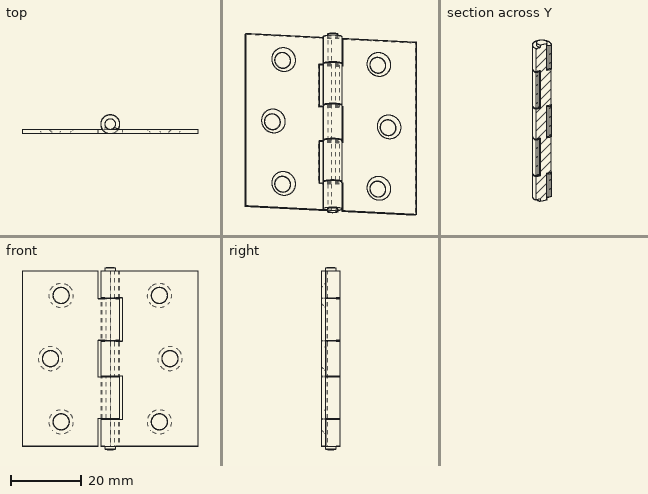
import cadquery as cq
import math

hinge_width = 50.0
leaf_height = 50.0
pin_length = 52.0
pin_diameter = 3.0
leaf_thickness = 1.2
notch_depth = 3.5
outer_curl_gap = 0.15
inner_curl_gap = 0.5
pin_crown = 0.2
middle_knuckle = 10.0
side_knuckle = 11.85
knuckle_gap = 0.2

hole_diameter = 4.5
outer_hole_x = 14.0
middle_hole_x = 17.0
hole_pitch = 18.0

inner_radius = pin_diameter / 2
outer_radius = inner_radius + leaf_thickness
half_height = leaf_height / 2

middle_top = middle_knuckle / 2
side_bottom = middle_top + knuckle_gap
side_top = side_bottom + side_knuckle
end_bottom = side_top + knuckle_gap


def make_knuckle(bottom, top):
    """Strip that leaves the +X leaf and curls around the pin."""
    outer_end_y = -inner_radius + outer_curl_gap
    inner_end_y = -inner_radius + inner_curl_gap
    outer_end_x = math.sqrt(outer_radius**2 - outer_end_y**2)
    inner_end_x = math.sqrt(inner_radius**2 - inner_end_y**2)
    outer_middle = (-outer_radius, 0)
    inner_middle = (-inner_radius, 0)
    return (
        cq.Workplane("XY", origin=(0, 0, bottom))
        .moveTo(notch_depth, -outer_radius)
        .lineTo(0, -outer_radius)
        .threePointArc(outer_middle, (outer_end_x, outer_end_y))
        .lineTo(inner_end_x, inner_end_y)
        .threePointArc(inner_middle, (0, -inner_radius))
        .lineTo(notch_depth, -inner_radius)
        .close()
        .extrude(top - bottom)
    )


def make_countersink(x, z):
    """Cone of a 90 degree countersink that opens towards +Y through the full leaf."""
    small_radius = hole_diameter / 2
    cone = cq.Solid.makeCone(
        small_radius,
        small_radius + leaf_thickness,
        leaf_thickness,
        cq.Vector(x, -outer_radius, z),
        cq.Vector(0, 1, 0),
    )
    return cq.Workplane(cone)


def make_leaf(knuckle_spans):
    """Leaf on the +X side with its screw holes and knuckles."""
    leaf = cq.Workplane("XY").box(
        hinge_width / 2 - notch_depth, leaf_thickness, leaf_height, centered=(False, False, True)
    ).translate((notch_depth, -outer_radius, 0))
    hole_places = [(outer_hole_x, -hole_pitch), (middle_hole_x, 0), (outer_hole_x, hole_pitch)]
    for hole_x, hole_z in hole_places:
        leaf = leaf.cut(make_countersink(hole_x, hole_z))
    for bottom, top in knuckle_spans:
        leaf = leaf.union(make_knuckle(bottom, top))
    return leaf


def make_pin():
    """Round pin with a shallow dome on both ends."""
    half_length = pin_length / 2
    shoulder_z = half_length - pin_crown
    dome_radius = (inner_radius**2 + pin_crown**2) / (2 * pin_crown)
    middle_x = inner_radius / 2
    middle_z = half_length - dome_radius + math.sqrt(dome_radius**2 - middle_x**2)
    return (
        cq.Workplane("XZ")
        .moveTo(0, -half_length)
        .threePointArc((middle_x, -middle_z), (inner_radius, -shoulder_z))
        .lineTo(inner_radius, shoulder_z)
        .threePointArc((middle_x, middle_z), (0, half_length))
        .close()
        .revolve(360, (0, 0, 0), (0, 1, 0))
    )


right_leaf = make_leaf([
    (-half_height, -end_bottom),
    (-middle_top, middle_top),
    (end_bottom, half_height),
])
left_leaf = make_leaf([
    (-side_top, -side_bottom),
    (side_bottom, side_top),
]).mirror("YZ")

result = make_pin().union(right_leaf).union(left_leaf)